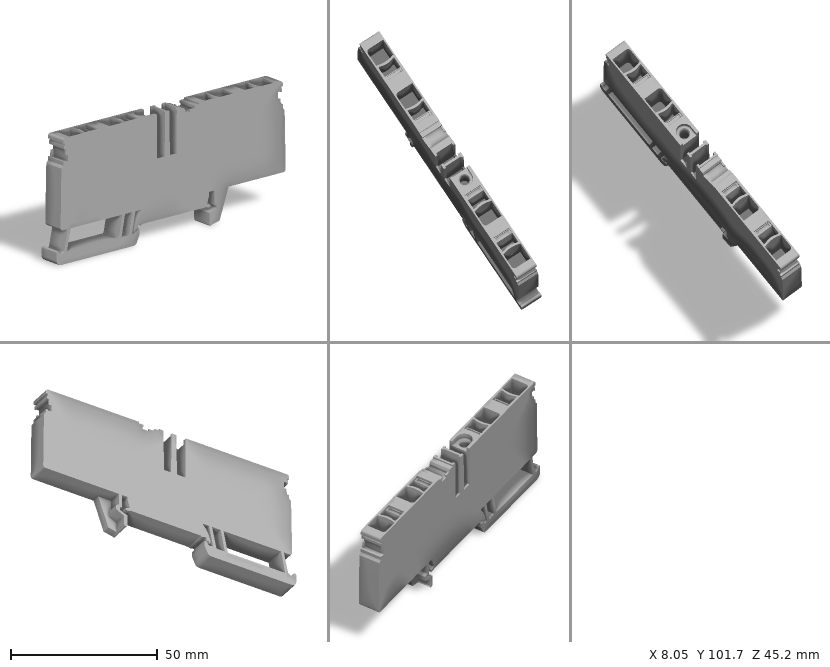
import cadquery as cq


THICKNESS = 8.05
TOTAL_LENGTH = 101.75
HEIGHT = 45.15
HALF_X = THICKNESS / 2
END_Y = TOTAL_LENGTH / 2

BODY_LENGTH = 100.0
BODY_BOTTOM = 12.3
BODY_CENTRE_Y = END_Y - BODY_LENGTH / 2
BODY_CORNER_R = 0.9
BODY_BOW_TOP = 34.6
BODY_BOW_INSET = 0.35
STEP_TOP = 44.55
MARKER_FACE_TOP = 43.6
UPPER_LAND_EDGE_Y = 12.45
LOWER_LAND_EDGE_Y = 4.15
MARKER_SLOPE = 0.45
END_LEDGE_INSET = 1.15
END_RIDGE_INSET = 1.55
END_NECK_INSET = 1.85
MARKER_FLOOR_Z = 42.7

TAB_WIDTH = 0.62
END_TAB_INSET = 2.25
GROOVE_MOUTH_INSET = 1.95
END_GROOVE_INSET = 3.25
END_GROOVE_BOTTOM = 36.85
END_GROOVE_MIDDLE = 39.0
END_GROOVE_TOP = 41.3
GROOVE_UNDERCUT = 0.3
MARKER_Y_HIGH = 10.6
MARKER_Y_MIDDLE = 8.35
MARKER_Y_LOW = 6.45

SLOT_FLOOR = 28.9
JUMPER_SLOTS = [(2.55, 2.3, -0.5, -0.8), (-2.65, -2.9, -6.25, -6.25)]
SLOT_CORNER_R = 0.4
PANEL_HALF_X = 3.2
BODY_PANEL_DEPTH = 0.85
FIN_PANEL_DEPTH = 0.5
PANEL_TAPER = 0.25
CHANNEL_DEPTH = 3.0
CHANNEL_RAMP = 0.9

SEAT_Y = -9.3
SEAT_RADIUS = 2.9
SEAT_DEPTH = 2.0
HOLE_TOP_RADIUS = 2.0
HOLE_RADIUS = 1.65
HOLE_DEPTH = 10.0
HOLE_CONE_DEPTH = 0.6

TERMINALS = [(46.35, -1), (28.3, -1), (-27.0, 1), (-44.8, 1)]
WIRE_LENGTH = 6.3
WIRE_HALF_X = 3.5
WIRE_CORNER_R = 1.2
WIRE_DEPTH = 15.0
RELEASE_HALF_X = 3.2
RELEASE_START = 7.2
RELEASE_DEPTH = 12.0
RAMP_START = 10.2
RAMP_END = 11.0
RAMP_DEPTH = 6.0
LEDGE_DEPTH = 0.9
LEDGE_END = 12.9
BLADE_START = 11.3
BLADE_END = 12.6
BLADE_HALF_X = 2.6
BLADE_DEPTH = 1.5
DIVIDER_BULGE = 0.5
BOW_HALF_X = 2.5
LEAD_IN_DEPTH = 9.0
LEAD_IN_TAPER = 3.0

EMBED = 0.1
RAIL_FACE_Z = 7.05
LIP_Z = 6.75
LATCH_OUTER_Y = 20.4
LATCH_INNER_Y = 19.3
GUSSET_INNER_Y = 18.0
WINDOW_FLOOR = 4.0
RIB_WIDTH = 1.15
RIB_LEAN = 1.65
RIB_TOPS_Y = [-15.85, -20.45, -44.75]
RIB_TOE_Y = 0.3
RIB_TOE_Z = 0.6
GUSSET_INNER_X = 1.0


def prism(points, x_low=-HALF_X, x_high=HALF_X):
    """Prism of a (Y, Z) outline between two X positions."""
    outline = cq.Workplane("YZ").workplane(offset=x_low).polyline(points).close()
    return outline.extrude(x_high - x_low)


def block(x_low, x_high, y_low, y_high, z_low, z_high):
    return cq.Workplane("XY").box(
        x_high - x_low, y_high - y_low, z_high - z_low, centered=False
    ).translate((x_low, y_low, z_low))


def round_corner(solid, y, z, radius):
    """Round the edge along X that passes nearest to (y, z)."""
    nearest = cq.selectors.NearestToPointSelector((0, y, z))
    return solid.edges("|X").edges(nearest).fillet(radius)


def end_profile(side):
    """Points of one housing end from bottom to top; side is +1 or -1 along Y."""
    insets = [
        (0.0, BODY_BOTTOM),
        (BODY_BOW_INSET, BODY_BOW_TOP),
        (END_LEDGE_INSET, 35.5),
        (END_LEDGE_INSET, END_GROOVE_BOTTOM),
        (GROOVE_MOUTH_INSET, END_GROOVE_BOTTOM),
        (END_TAB_INSET, END_GROOVE_MIDDLE),
        (END_TAB_INSET, END_GROOVE_TOP),
        (END_RIDGE_INSET, END_GROOVE_TOP),
        (END_RIDGE_INSET, 42.5),
        (END_NECK_INSET, 42.5),
        (END_NECK_INSET, 43.3),
        (END_LEDGE_INSET, 43.3),
        (END_LEDGE_INSET, HEIGHT),
    ]
    return [(BODY_CENTRE_Y + side * (BODY_LENGTH / 2 - inset), z) for inset, z in insets]


def make_housing():
    groove_profile = [
        (LOWER_LAND_EDGE_Y, HEIGHT),
        (LOWER_LAND_EDGE_Y, STEP_TOP),
        (MARKER_Y_LOW - MARKER_SLOPE, STEP_TOP),
        (MARKER_Y_LOW, MARKER_FACE_TOP),
        (MARKER_Y_HIGH, MARKER_FACE_TOP),
        (MARKER_Y_HIGH, STEP_TOP),
        (UPPER_LAND_EDGE_Y, STEP_TOP),
        (UPPER_LAND_EDGE_Y, HEIGHT),
    ]
    upper_end = end_profile(1)
    lower_end = end_profile(-1)
    bow_middle_z = (BODY_BOTTOM + BODY_BOW_TOP) / 2
    bow_middle_y = BODY_LENGTH / 2 - BODY_BOW_INSET / 4
    housing = (
        cq.Workplane("YZ")
        .workplane(offset=-HALF_X)
        .polyline(lower_end[1:] + groove_profile + upper_end[:0:-1])
        .threePointArc((BODY_CENTRE_Y + bow_middle_y, bow_middle_z), upper_end[0])
        .lineTo(*lower_end[0])
        .threePointArc((BODY_CENTRE_Y - bow_middle_y, bow_middle_z), lower_end[1])
        .close()
        .extrude(THICKNESS)
    )
    for profile in (lower_end, upper_end):
        housing = round_corner(housing, *profile[0], BODY_CORNER_R)
        housing = round_corner(housing, *profile[-1], BODY_CORNER_R)
    return housing


def cut_marker_grooves(solid):
    """Deepen each marker groove, leaving a tab on one side of each half."""
    tab_low = -HALF_X + TAB_WIDTH
    tab_high = HALF_X - TAB_WIDTH
    lower_y = BODY_CENTRE_Y - BODY_LENGTH / 2
    upper_y = BODY_CENTRE_Y + BODY_LENGTH / 2
    lower_groove = (lower_y + GROOVE_MOUTH_INSET, lower_y + END_GROOVE_INSET)
    upper_groove = (upper_y - END_GROOVE_INSET, upper_y - GROOVE_MOUTH_INSET)
    low_half = (END_GROOVE_BOTTOM - GROOVE_UNDERCUT, END_GROOVE_MIDDLE)
    high_half = (END_GROOVE_MIDDLE, END_GROOVE_TOP + GROOVE_UNDERCUT)
    open_low = (-HALF_X, tab_high)
    open_high = (tab_low, HALF_X)
    centre_depth = (MARKER_FLOOR_Z, MARKER_FACE_TOP)
    cuts = [
        (open_high, lower_groove, low_half),
        (open_low, lower_groove, high_half),
        (open_low, upper_groove, low_half),
        (open_high, upper_groove, high_half),
        (open_high, (MARKER_Y_LOW, MARKER_Y_MIDDLE), centre_depth),
        (open_low, (MARKER_Y_MIDDLE, MARKER_Y_HIGH + GROOVE_UNDERCUT), centre_depth),
    ]
    for x_range, y_range, z_range in cuts:
        solid = solid.cut(block(*x_range, *y_range, *z_range))
    return solid


def cut_jumper_slots(solid):
    for high_top, high_floor, low_floor, low_top in JUMPER_SLOTS:
        outline = [
            (high_top, HEIGHT),
            (high_floor, SLOT_FLOOR),
            (low_floor, SLOT_FLOOR),
            (low_top, HEIGHT),
        ]
        solid = solid.cut(prism(outline))
    first, second = JUMPER_SLOTS
    solid = round_corner(solid, first[0], HEIGHT, SLOT_CORNER_R)
    solid = round_corner(solid, second[3], HEIGHT, SLOT_CORNER_R)

    channel_floor = SLOT_FLOOR - CHANNEL_DEPTH
    panels = [
        (first[0], first[1], BODY_PANEL_DEPTH),
        (first[3], first[2], -FIN_PANEL_DEPTH),
        (second[0], second[1], FIN_PANEL_DEPTH),
    ]
    for wall_top, wall_floor, depth in panels:
        outline = [
            (wall_top + depth, HEIGHT),
            (wall_floor + depth * PANEL_TAPER, channel_floor),
            (wall_floor - depth, channel_floor),
            (wall_top - depth, HEIGHT),
        ]
        solid = solid.cut(prism(outline, -PANEL_HALF_X, PANEL_HALF_X))

    for slot, ramp_length in ((first, 0.0), (second, CHANNEL_RAMP)):
        outline = [
            (slot[1], SLOT_FLOOR),
            (slot[1], channel_floor),
            (slot[2] + ramp_length, channel_floor),
            (slot[2], SLOT_FLOOR),
        ]
        solid = solid.cut(prism(outline, -PANEL_HALF_X, PANEL_HALF_X))
    return solid


def cut_screw_seat(solid):
    floor = HEIGHT - SEAT_DEPTH
    slot_edge = JUMPER_SLOTS[1][3]
    seat = block(-SEAT_RADIUS, SEAT_RADIUS, SEAT_Y, slot_edge, floor, HEIGHT)
    rounded_end = cq.Workplane("XY", origin=(0, SEAT_Y, floor)).circle(SEAT_RADIUS).extrude(SEAT_DEPTH)
    hole = (
        cq.Workplane("XZ", origin=(0, SEAT_Y, floor))
        .polyline([
            (0, 0),
            (HOLE_TOP_RADIUS, 0),
            (HOLE_RADIUS, -HOLE_CONE_DEPTH),
            (HOLE_RADIUS, -HOLE_DEPTH),
            (0, -HOLE_DEPTH),
        ])
        .close()
        .revolve(360, (0, 0), (0, 1))
    )
    return solid.cut(seat).cut(rounded_end).cut(hole)


def cut_terminal(solid, outer_y, direction):
    """Cut a wire opening and the stepped release slot behind its bowed divider."""

    def along(distance):
        return outer_y + direction * distance

    def pocket(half_x, start, end, depth):
        y_low, y_high = sorted((along(start), along(end)))
        return block(-half_x, half_x, y_low, y_high, HEIGHT - depth, HEIGHT)

    wire = pocket(WIRE_HALF_X, 0, WIRE_LENGTH, WIRE_DEPTH)
    rounded_edge = cq.selectors.NearestToPointSelector((-WIRE_HALF_X, outer_y, HEIGHT))
    wire = wire.edges("|Z").edges(rounded_edge).fillet(WIRE_CORNER_R)

    lead_in = (
        cq.Workplane("XY", origin=(0, 0, HEIGHT))
        .moveTo(-RELEASE_HALF_X, along(WIRE_LENGTH / 2))
        .lineTo(-RELEASE_HALF_X, along(WIRE_LENGTH))
        .threePointArc(
            (0, along(WIRE_LENGTH + DIVIDER_BULGE)), (RELEASE_HALF_X, along(WIRE_LENGTH))
        )
        .lineTo(RELEASE_HALF_X, along(WIRE_LENGTH / 2))
        .close()
        .extrude(-LEAD_IN_DEPTH, taper=LEAD_IN_TAPER)
    )

    release = (
        cq.Workplane("XY", origin=(0, 0, HEIGHT))
        .moveTo(-RELEASE_HALF_X, along(RELEASE_START))
        .lineTo(-BOW_HALF_X, along(RELEASE_START))
        .threePointArc(
            (0, along(RELEASE_START + DIVIDER_BULGE)), (BOW_HALF_X, along(RELEASE_START))
        )
        .lineTo(RELEASE_HALF_X, along(RELEASE_START))
        .lineTo(RELEASE_HALF_X, along(RAMP_START))
        .lineTo(-RELEASE_HALF_X, along(RAMP_START))
        .close()
        .extrude(-RELEASE_DEPTH)
    )
    ramp = prism(
        [
            (along(RAMP_START), HEIGHT - LEDGE_DEPTH),
            (along(RAMP_END), HEIGHT - LEDGE_DEPTH),
            (along(RAMP_START), HEIGHT - RAMP_DEPTH),
        ],
        -RELEASE_HALF_X,
        RELEASE_HALF_X,
    )
    ledge = pocket(RELEASE_HALF_X, RAMP_START, LEDGE_END, LEDGE_DEPTH)
    blade = pocket(BLADE_HALF_X, BLADE_START, BLADE_END, BLADE_DEPTH)
    for cutter in (wire, lead_in, release, ramp, ledge, blade):
        solid = solid.cut(cutter)
    return solid


def make_rail_seat():
    """Block resting on the rail, with a lip at one end and a hooked finger at the other."""
    outline = (
        cq.Workplane("YZ")
        .workplane(offset=-HALF_X)
        .moveTo(16.9, BODY_BOTTOM + EMBED)
        .lineTo(16.9, 11.0)
        .lineTo(16.05, 8.0)
        .lineTo(17.65, 7.6)
        .lineTo(17.65, LIP_Z)
        .lineTo(16.3, LIP_Z)
        .lineTo(15.9, RAIL_FACE_Z)
        .lineTo(-12.6, RAIL_FACE_Z)
        .lineTo(-12.9, LIP_Z)
        .lineTo(-13.6, LIP_Z)
        .lineTo(-13.9, RAIL_FACE_Z)
        .lineTo(-14.7, RAIL_FACE_Z)
        .lineTo(-14.7, 5.85)
        .lineTo(-15.7, 5.85)
        .lineTo(-16.0, 5.1)
        .lineTo(-16.5, 5.2)
        .threePointArc((-15.5, 8.9), (-13.45, 11.9))
        .lineTo(-13.45, BODY_BOTTOM + EMBED)
        .close()
    )
    return outline.extrude(THICKNESS)


def make_latch():
    """Full-width bent strip on one side of the rail, backed by a thinner gusset."""
    strip = prism([
        (LATCH_OUTER_Y, BODY_BOTTOM + EMBED),
        (LATCH_OUTER_Y, 8.0),
        (21.55, 7.3),
        (21.55, 5.6),
        (20.9, 5.2),
        (18.6, 4.1),
        (18.3, 3.9),
        (18.3, 1.0),
        (18.6, 0.6),
        (17.9, 0.0),
        (17.3, 0.0),
        (17.05, 0.4),
        (17.05, 4.7),
        (20.1, 5.85),
        (20.1, RAIL_FACE_Z),
        (LATCH_INNER_Y, RAIL_FACE_Z),
        (LATCH_INNER_Y, BODY_BOTTOM + EMBED),
    ])
    gusset = prism(
        [
            (25.65, BODY_BOTTOM + EMBED),
            (21.6, 0.95),
            (GUSSET_INNER_Y, 0.2),
            (GUSSET_INNER_Y, 4.1),
            (21.2, 5.4),
            (21.2, 7.2),
            (20.0, 8.0),
            (20.0, BODY_BOTTOM + EMBED),
        ],
        GUSSET_INNER_X,
        HALF_X,
    )
    return strip.union(gusset)


def make_rail_foot():
    """Beam under the housing, hung on three leaning ribs."""
    beam = (
        cq.Workplane("YZ")
        .workplane(offset=-HALF_X)
        .moveTo(-13.95, 5.5)
        .lineTo(-13.95, 3.6)
        .lineTo(-15.2, 0.9)
        .threePointArc((-15.8, 0.3), (-16.7, 0.0))
        .lineTo(-49.0, 0.0)
        .threePointArc((-50.3, 0.5), (-END_Y, 1.8))
        .lineTo(-END_Y, 4.6)
        .threePointArc((-50.3, 5.2), (-49.7, 4.7))
        .threePointArc((-49.35, 4.1), (-48.7, 3.8))
        .threePointArc((-48.0, 4.1), (-47.3, 5.2))
        .lineTo(-46.4, WINDOW_FLOOR)
        .lineTo(-17.4, WINDOW_FLOOR)
        .lineTo(-17.2, 4.5)
        .threePointArc((-16.2, 4.2), (-15.15, 5.0))
        .lineTo(-15.15, 5.5)
        .close()
        .extrude(THICKNESS)
    )
    for top_y in RIB_TOPS_Y:
        foot_y = top_y - RIB_LEAN
        rib = prism([
            (top_y, BODY_BOTTOM + EMBED),
            (foot_y, WINDOW_FLOOR - EMBED),
            (foot_y - RIB_WIDTH - RIB_TOE_Y, WINDOW_FLOOR - EMBED),
            (foot_y - RIB_WIDTH, WINDOW_FLOOR + RIB_TOE_Z),
            (top_y - RIB_WIDTH, BODY_BOTTOM + EMBED),
        ])
        beam = beam.union(rib)
    return beam


housing = cut_marker_grooves(make_housing())
housing = cut_jumper_slots(housing)
housing = cut_screw_seat(housing)
for wire_wall_y, release_direction in TERMINALS:
    housing = cut_terminal(housing, wire_wall_y, release_direction)

result = housing.union(make_rail_seat()).union(make_latch()).union(make_rail_foot())